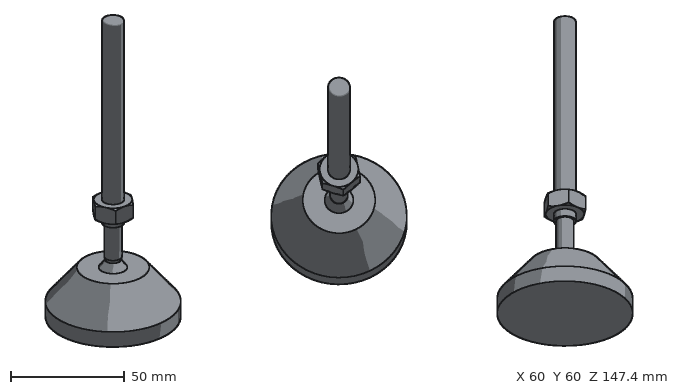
import cadquery as cq
import math

foot_diameter = 60.0
foot_top_diameter = 32.0
rim_height = 7.5
foot_height = 24.3

cone_diameter = 12.7
neck_diameter = 7.0
neck_level = 28.0
overall_height = 147.4
rod_diameter = 9.9
shank_diameter = 8.0
shank_start = 29.6
rod_start = 46.4
tip_fillet = 1.0

nut_width = 17.0
nut_height = 8.0
nut_bottom = 50.0
nut_chamfer_angle = 30.0
hex_half_angle = 30.0


def make_foot():
    """Cylindrical rim carrying a cone with a flat top."""
    return (
        cq.Workplane("XZ")
        .lineTo(foot_diameter / 2, 0)
        .lineTo(foot_diameter / 2, rim_height)
        .lineTo(foot_top_diameter / 2, foot_height)
        .lineTo(0, foot_height)
        .close()
        .revolve(360, (0, 0, 0), (0, 1, 0))
    )


def make_spindle():
    """Stepped rod with a waisted cone standing on the foot and a rounded tip."""
    profile = (
        cq.Workplane("XZ")
        .moveTo(0, foot_height)
        .lineTo(cone_diameter / 2, foot_height)
        .lineTo(neck_diameter / 2, neck_level)
        .lineTo(shank_diameter / 2, shank_start)
        .lineTo(shank_diameter / 2, rod_start)
        .lineTo(rod_diameter / 2, rod_start)
        .lineTo(rod_diameter / 2, overall_height)
        .lineTo(0, overall_height)
        .close()
    )
    spindle = profile.revolve(360, (0, 0, 0), (0, 1, 0))
    return spindle.faces(">Z").edges().fillet(tip_fillet)


def make_nut():
    """Hexagon with corners along Y, chamfered at both ends, bored for the rod."""
    corner_diameter = nut_width / math.cos(math.radians(hex_half_angle))
    chamfer_radial = (corner_diameter - nut_width) / 2
    chamfer_axial = chamfer_radial * math.tan(math.radians(nut_chamfer_angle))
    base = cq.Workplane("XY", origin=(0, 0, nut_bottom))
    hexagon = base.polygon(6, corner_diameter).extrude(nut_height)
    hexagon = hexagon.rotate((0, 0, 0), (0, 0, 1), hex_half_angle)
    chamfered_blank = (
        base.circle(corner_diameter / 2)
        .extrude(nut_height)
        .faces("<Z or >Z")
        .edges()
        .chamfer(chamfer_axial, chamfer_radial)
    )
    bore = base.circle(rod_diameter / 2).extrude(nut_height)
    return hexagon.intersect(chamfered_blank).cut(bore)


foot = make_foot()
spindle = make_spindle()
nut = make_nut()

result = cq.Compound.makeCompound([foot.val(), spindle.val(), nut.val()])